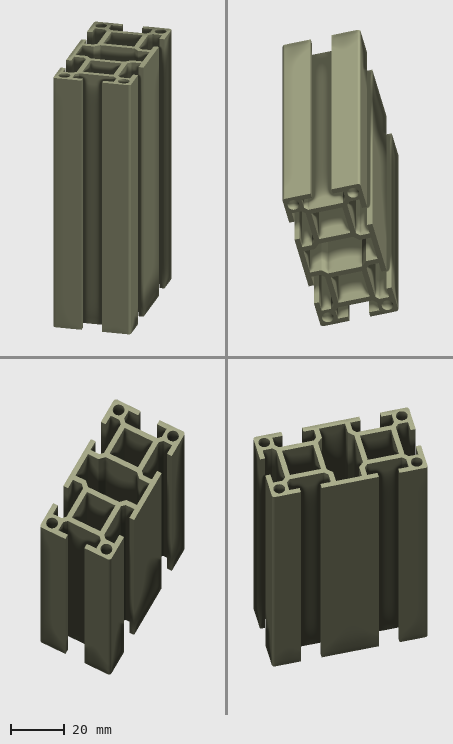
import cadquery as cq

cell = 30.0
length = 100.0
width = cell
depth = 2 * cell
corner_radius = 1.0

wall = 2.0
slot_opening = 8.0
chamber_width = 16.0
chamber_chamfer = 1.3
core_size = 16.0

core_cavity = core_size - 2 * wall
corner_hole_diameter = 4.4
corner_hole_offset = 11.5

cavity_half_width = width / 2 - wall
cavity_half_depth = (cell - chamber_width) / 2 - wall
recess_half_depth = (cell - core_size) / 2
recess_half_width = 6.6
recess_slope_run = recess_half_depth - cavity_half_depth

cell_centers = [-cell / 2, cell / 2]


def slot_cutter():
    """T-slot opening toward +Y of a cell centred on the origin."""
    face = cell / 2
    floor = core_size / 2
    ceiling = face - wall
    half_opening = slot_opening / 2
    half_chamber = chamber_width / 2
    half_floor = half_chamber - chamber_chamfer
    return (
        cq.Workplane("XY")
        .polyline([
            (-half_opening, face),
            (-half_opening, ceiling),
            (-half_chamber, ceiling),
            (-half_chamber, floor + chamber_chamfer),
            (-half_floor, floor),
            (half_floor, floor),
            (half_chamber, floor + chamber_chamfer),
            (half_chamber, ceiling),
            (half_opening, ceiling),
            (half_opening, face),
        ])
        .close()
        .extrude(length)
    )


def central_cavity():
    """Wide cavity with a sloped recess reaching to each core wall."""
    recess_foot = recess_half_width + recess_slope_run
    return (
        cq.Workplane("XY")
        .polyline([
            (-cavity_half_width, -cavity_half_depth),
            (-recess_foot, -cavity_half_depth),
            (-recess_half_width, -recess_half_depth),
            (recess_half_width, -recess_half_depth),
            (recess_foot, -cavity_half_depth),
            (cavity_half_width, -cavity_half_depth),
            (cavity_half_width, cavity_half_depth),
            (recess_foot, cavity_half_depth),
            (recess_half_width, recess_half_depth),
            (-recess_half_width, recess_half_depth),
            (-recess_foot, cavity_half_depth),
            (-cavity_half_width, cavity_half_depth),
        ])
        .close()
        .extrude(length)
    )


result = (
    cq.Workplane("XY")
    .rect(width, depth)
    .extrude(length)
    .edges("|Z")
    .fillet(corner_radius)
)

result = result.cut(
    cq.Workplane("XY")
    .pushPoints([(0, y) for y in cell_centers])
    .rect(core_cavity, core_cavity)
    .extrude(length)
)

for y in cell_centers:
    end_angle = 0 if y > 0 else 180
    for angle in (90, -90, end_angle):
        slot = slot_cutter().rotate((0, 0, 0), (0, 0, 1), angle)
        result = result.cut(slot.translate((0, y, 0)))

result = result.cut(central_cavity())

hole_x = corner_hole_offset
hole_y = cell / 2 + corner_hole_offset
result = result.cut(
    cq.Workplane("XY")
    .rect(2 * hole_x, 2 * hole_y, forConstruction=True)
    .vertices()
    .circle(corner_hole_diameter / 2)
    .extrude(length)
)